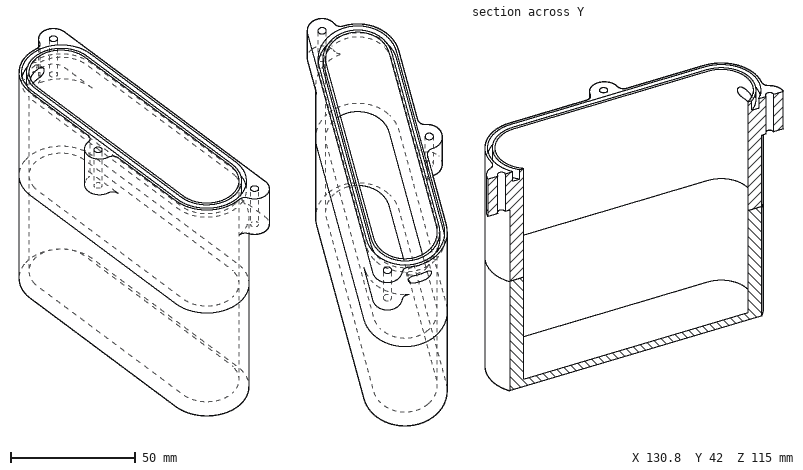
import cadquery as cq

LENGTH = 120.0
WIDTH = 34.0
HEIGHT = 115.0
END_RADIUS = WIDTH / 2
SPLIT_Z = HEIGHT / 2
WALL = 4.0
FLOOR = WALL

GROOVE_INSET = 1.0
GROOVE_WIDTH = 2.0
GROOVE_DEPTH = 5.0

EAR_SPAN = 130.8
EAR_HEIGHT = 19.9
EAR_RADIUS = 6.0
EAR_FILLET = 3.0
FRONT_EAR_REACH = 8.0
SCREW_DIAMETER = 3.3
FRONT_SCREW_REACH = 2.7

SLOT_LENGTH = 10.0
SLOT_HEIGHT = 5.4
SLOT_Y = -2.5
SLOT_DROP = 9.4

CORNER_MARGIN = 0.7

EAR_X = EAR_SPAN / 2 - EAR_RADIUS
CORNER_EAR_Y = END_RADIUS - EAR_RADIUS
FRONT_EAR_Y = -END_RADIUS - FRONT_EAR_REACH + EAR_RADIUS
FRONT_SCREW_Y = -END_RADIUS - FRONT_SCREW_REACH
EAR_BASE_Z = HEIGHT - EAR_HEIGHT


def stadium(inset, bottom, top):
    """Upright stadium prism, offset inward from the outer wall by inset."""
    return (
        cq.Workplane("XY", origin=(0, 0, bottom))
        .slot2D(LENGTH - 2 * inset, WIDTH - 2 * inset)
        .extrude(top - bottom)
    )


def ear_post(x, y):
    """Round post of one screw ear."""
    return cq.Workplane("XY", origin=(x, y, EAR_BASE_Z)).circle(EAR_RADIUS).extrude(EAR_HEIGHT)


def ear_collar():
    """Top band of the shell with its three ears, blended into the wall."""
    collar = stadium(0, EAR_BASE_Z, HEIGHT)
    bar = cq.Workplane("XY", origin=(0, 0, EAR_BASE_Z)).box(
        2 * EAR_X, EAR_RADIUS, EAR_HEIGHT, centered=(True, False, False)
    ).translate((0, CORNER_EAR_Y, 0))
    collar = collar.union(bar)
    for x, y in ((-EAR_X, CORNER_EAR_Y), (EAR_X, CORNER_EAR_Y), (0, FRONT_EAR_Y)):
        collar = collar.union(ear_post(x, y))
    collar = collar.clean()

    corner_top = CORNER_EAR_Y - CORNER_MARGIN
    end_corners = (
        cq.selectors.BoxSelector((-EAR_SPAN, 0, 0), (-LENGTH / 2 + END_RADIUS, corner_top, HEIGHT))
        + cq.selectors.BoxSelector((LENGTH / 2 - END_RADIUS, 0, 0), (EAR_SPAN, corner_top, HEIGHT))
    )
    front_corners = cq.selectors.BoxSelector(
        (-EAR_RADIUS, -END_RADIUS - CORNER_MARGIN, 0), (EAR_RADIUS, -END_RADIUS + CORNER_MARGIN, HEIGHT)
    )
    return collar.edges("|Z").edges(end_corners + front_corners).fillet(EAR_FILLET)


def seal_groove():
    """Ring-shaped cutter for the groove in the top rim."""
    bottom = HEIGHT - GROOVE_DEPTH
    outer = stadium(GROOVE_INSET, bottom, HEIGHT)
    return outer.cut(stadium(GROOVE_INSET + GROOVE_WIDTH, bottom, HEIGHT))


def screw_holes():
    """Cutter for the holes that run down through the ears."""
    centers = [(-EAR_X, CORNER_EAR_Y), (EAR_X, CORNER_EAR_Y), (0, FRONT_SCREW_Y)]
    return (
        cq.Workplane("XY", origin=(0, 0, EAR_BASE_Z))
        .pushPoints(centers)
        .circle(SCREW_DIAMETER / 2)
        .extrude(EAR_HEIGHT)
    )


def cable_slot():
    """Cutter for the rounded slot, running from outside the -X end into the cavity."""
    return (
        cq.Workplane("YZ", origin=(-EAR_SPAN / 2, SLOT_Y, HEIGHT - SLOT_DROP))
        .slot2D(SLOT_LENGTH, SLOT_HEIGHT)
        .extrude(END_RADIUS)
    )


def make_upper_housing():
    """Open tube with the ears, seal groove and cable slot."""
    return (
        stadium(0, SPLIT_Z, HEIGHT)
        .union(ear_collar())
        .cut(stadium(WALL, SPLIT_Z, HEIGHT))
        .cut(seal_groove())
        .cut(screw_holes())
        .cut(cable_slot())
    )


def make_lower_housing():
    """Cup that closes the cavity from below."""
    return stadium(0, 0, SPLIT_Z).cut(stadium(WALL, FLOOR, SPLIT_Z))


upper_housing = make_upper_housing()
lower_housing = make_lower_housing()

result = cq.Compound.makeCompound([upper_housing.val(), lower_housing.val()])